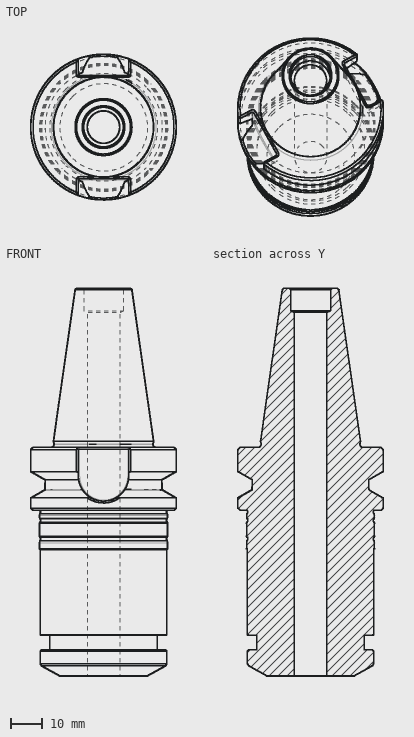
import cadquery as cq
import math

total_length = 122.4

taper_small_dia = 18.0
gauge_dia = 31.7
taper_length = 48.3
taper_tip_chamfer = 0.5
shank_neck_dia = 31.3
shank_neck_taper = 0.7
shank_neck_fillet = 0.9

flange_dia = 46.0
flange_chamfer = 0.7
flange_top_depth = 50.2
flange_thickness = 20.0
upper_rim_height = 7.7
lower_rim_height = 3.9
groove_dia = 37.0
groove_flank_angle = 30.0
groove_corner_radius = 0.4

slot_width = 15.9
slot_floor_offset = 16.3
slot_length = 17.0
slot_floor_fillet = 0.4
slot_edge_chamfer = 0.6
slot_overshoot = 1.2

collar_dia = 40.5
body_dia = 40.0
collar_end_depth = 82.3
body_end_depth = 109.5
body_chamfer = 0.2
ring_groove_depth = 0.4
ring_bevel_depth = 0.1
ring_grooves = [
    (flange_top_depth + flange_thickness, 0, 1.0, 0.5),
    (72.2, 0.5, 1.1, 0.4),
    (78.2, 0.4, 1.1, 0.7),
]

nut_neck_dia = 34.0
nut_dia = 40.0
nut_top_depth = 114.1
nut_top_chamfer = 0.5
nut_rim_end_depth = 118.5
nut_bevel_height = 0.7
nut_cone_dia = 39.2
nut_face_dia = 27.7

entry_dia = 13.5
bore_dia = 12.5
through_dia = 10.2
bore_depth = 7.1
bore_cone_height = 0.5

tolerance = 0.01

flange_bottom_depth = flange_top_depth + flange_thickness
collar_step = (collar_dia - body_dia) / 2
entry_chamfer = (entry_dia - bore_dia) / 2


def height(depth):
    """Z position of a depth below the top face."""
    return total_length - depth


def revolve_profile(points):
    """Turn (diameter, depth) points about the Z axis."""
    outline = [(dia / 2, height(depth)) for dia, depth in points]
    return cq.Workplane("XZ").polyline(outline).close().revolve(360, (0, 0), (0, 1))


def shank():
    """Taper and neck, flaring into the flange top with a concave fillet."""
    neck_end = height(flange_top_depth)
    neck_radius = shank_neck_dia / 2
    arc_sag = shank_neck_fillet * (1 - math.sqrt(0.5))
    return (
        cq.Workplane("XZ")
        .moveTo(0, total_length)
        .lineTo(taper_small_dia / 2 - taper_tip_chamfer, total_length)
        .lineTo(taper_small_dia / 2, height(taper_tip_chamfer))
        .lineTo(gauge_dia / 2, height(taper_length))
        .lineTo(neck_radius, height(taper_length + shank_neck_taper))
        .lineTo(neck_radius, neck_end + shank_neck_fillet)
        .threePointArc(
            (neck_radius + arc_sag, neck_end + arc_sag),
            (neck_radius + shank_neck_fillet, neck_end),
        )
        .lineTo(0, neck_end)
        .close()
        .revolve(360, (0, 0), (0, 1))
    )


def flange():
    chamfered_dia = flange_dia - 2 * flange_chamfer
    flank_height = (flange_dia - groove_dia) / 2 * math.tan(math.radians(groove_flank_angle))
    upper_rim_end = flange_top_depth + upper_rim_height
    lower_rim_start = flange_bottom_depth - lower_rim_height
    groove_top = upper_rim_end + flank_height
    groove_bottom = lower_rim_start - flank_height
    disc = revolve_profile([
        (0, flange_top_depth),
        (chamfered_dia, flange_top_depth),
        (flange_dia, flange_top_depth + flange_chamfer),
        (flange_dia, upper_rim_end),
        (groove_dia, groove_top),
        (groove_dia, groove_bottom),
        (flange_dia, lower_rim_start),
        (flange_dia, flange_bottom_depth - flange_chamfer),
        (chamfered_dia, flange_bottom_depth),
        (0, flange_bottom_depth),
    ])
    groove_root = cq.selectors.NearestToPointSelector((groove_dia / 2, 0, height(groove_bottom)))
    return disc.edges("%CIRCLE").edges(groove_root).fillet(groove_corner_radius)


def body():
    return revolve_profile([
        (0, flange_bottom_depth),
        (collar_dia, flange_bottom_depth),
        (collar_dia, collar_end_depth),
        (body_dia, collar_end_depth + collar_step),
        (body_dia, body_end_depth - body_chamfer),
        (body_dia - 2 * body_chamfer, body_end_depth),
        (0, body_end_depth),
    ])


def nut():
    return revolve_profile([
        (0, body_end_depth),
        (nut_neck_dia, body_end_depth),
        (nut_neck_dia, nut_top_depth),
        (nut_dia - 2 * nut_top_chamfer, nut_top_depth),
        (nut_dia, nut_top_depth + nut_top_chamfer),
        (nut_dia, nut_rim_end_depth),
        (nut_cone_dia, nut_rim_end_depth + nut_bevel_height),
        (nut_face_dia, total_length),
        (0, total_length),
    ])


def ring_groove(top_depth, upper_bevel, round_height, lower_bevel):
    """Shallow round-bottomed groove cutter with bevelled lips around the collar."""
    outer = collar_dia / 2
    lip = outer - ring_bevel_depth
    round_top = height(top_depth + upper_bevel)
    round_bottom = round_top - round_height
    round_middle = (round_top + round_bottom) / 2
    return (
        cq.Workplane("XZ")
        .moveTo(outer, height(top_depth))
        .lineTo(lip, round_top)
        .threePointArc((outer - ring_groove_depth, round_middle), (lip, round_bottom))
        .lineTo(outer, round_bottom - lower_bevel)
        .close()
        .revolve(360, (0, 0), (0, 1))
    )


def slot_cutter():
    """Drive slot on the +Y side, its floor edge rounded."""
    radius = slot_width / 2
    top = height(flange_top_depth) + slot_overshoot
    arc_center = height(flange_top_depth + slot_length - radius)
    return (
        cq.Workplane("XZ", origin=(0, slot_floor_offset, 0))
        .moveTo(-radius, top)
        .lineTo(-radius, arc_center)
        .threePointArc((0, arc_center - radius), (radius, arc_center))
        .lineTo(radius, top)
        .close()
        .extrude(-flange_dia / 2)
        .faces("<Y").edges("not >Z").fillet(slot_floor_fillet)
    )


def slotted_disc(*slots):
    """Plain disc of the flange size, slotted and with chamfered slot edges."""
    disc = (
        cq.Workplane("XY", origin=(0, 0, height(flange_bottom_depth)))
        .circle(flange_dia / 2)
        .extrude(flange_thickness)
    )
    for slot in slots:
        disc = disc.cut(slot)
    return disc.edges().filter(is_slot_edge).chamfer(slot_edge_chamfer)


def is_slot_edge(edge):
    """True for edges where a slot wall opens onto the outside of the flange."""
    radius = slot_width / 2
    arc_center = height(flange_top_depth + slot_length - radius)
    if abs(edge.Center().y) < slot_floor_offset + slot_floor_fillet + tolerance:
        return False
    for point in edge.positions([0, 0.5, 1]):
        drop = max(arc_center - point.z, 0)
        if abs(math.hypot(point.x, drop) - radius) > tolerance:
            return False
    return True


def bore():
    return revolve_profile([
        (0, 0),
        (entry_dia, 0),
        (bore_dia, entry_chamfer),
        (bore_dia, bore_depth),
        (through_dia, bore_depth + bore_cone_height),
        (through_dia, total_length),
        (0, total_length),
    ])


slot = slot_cutter()
back_slot = slot.mirror("XZ")

slotted_shank = shank().cut(slot).cut(back_slot)
slotted_flange = flange().intersect(slotted_disc(slot, back_slot))

result = slotted_shank.union(slotted_flange).union(body()).union(nut())
for groove in ring_grooves:
    result = result.cut(ring_groove(*groove))
result = result.cut(bore())